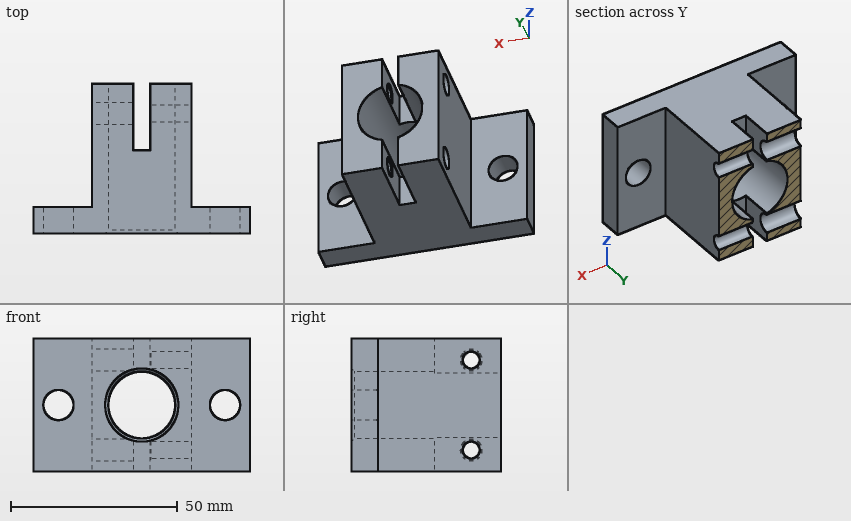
import cadquery as cq
import math

PLATE_WIDTH = 65.0
PLATE_THICKNESS = 8.0
HEIGHT = 40.0
PLATE_HOLE_DIAMETER = 9.0
PLATE_HOLE_SPACING = 50.0

TOTAL_DEPTH = 45.0
BLOCK_WIDTH = 30.0
SLOT_WIDTH = 5.0
SLOT_DEPTH = 20.0

BORE_DIAMETER = 20.0
BORE_CHAMFER = 1.0
BORE_CHAMFER_ANGLE = 90.0

SCREW_SPACING = 27.0
SCREW_FROM_BACK = 9.0
CLEARANCE_DIAMETER = 6.6
TAP_DIAMETER = 5.0
TAP_CHAMFER = 0.5
TAP_CHAMFER_ANGLE = 120.0

JAW_WIDTH = (BLOCK_WIDTH - SLOT_WIDTH) / 2
ALONG_X = cq.Vector(1, 0, 0)
ALONG_Y = cq.Vector(0, 1, 0)


def centered_box(width, y_start, y_end):
    """Full-height box centred on X and Z, spanning y_start to y_end."""
    depth = y_end - y_start
    return cq.Workplane("XY").box(width, depth, HEIGHT).translate((0, y_start + depth / 2, 0))


def cylinder(diameter, length, start, direction):
    return cq.Workplane(cq.Solid.makeCylinder(diameter / 2, length, start, direction))


def countersink(hole_diameter, chamfer, cone_angle, start, direction):
    """Cone that widens the mouth of a hole by chamfer on the radius."""
    hole_radius = hole_diameter / 2
    depth = chamfer / math.tan(math.radians(cone_angle / 2))
    return cq.Workplane(cq.Solid.makeCone(hole_radius + chamfer, hole_radius, depth, start, direction))


def make_body():
    plate = centered_box(PLATE_WIDTH, 0, PLATE_THICKNESS)
    block = centered_box(BLOCK_WIDTH, 0, TOTAL_DEPTH)
    slot = centered_box(SLOT_WIDTH, TOTAL_DEPTH - SLOT_DEPTH, TOTAL_DEPTH)
    return plate.union(block).cut(slot)


def cut_bore(body):
    mouth = cq.Vector(0, 0, 0)
    body = body.cut(cylinder(BORE_DIAMETER, TOTAL_DEPTH, mouth, ALONG_Y))
    return body.cut(countersink(BORE_DIAMETER, BORE_CHAMFER, BORE_CHAMFER_ANGLE, mouth, ALONG_Y))


def cut_plate_holes(body):
    for side in (-1, 1):
        mouth = cq.Vector(side * PLATE_HOLE_SPACING / 2, 0, 0)
        body = body.cut(cylinder(PLATE_HOLE_DIAMETER, PLATE_THICKNESS, mouth, ALONG_Y))
    return body


def cut_screw_holes(body):
    y = TOTAL_DEPTH - SCREW_FROM_BACK
    for side in (-1, 1):
        z = side * SCREW_SPACING / 2
        clearance_mouth = cq.Vector(-BLOCK_WIDTH / 2, y, z)
        tap_mouth = cq.Vector(SLOT_WIDTH / 2, y, z)
        body = body.cut(cylinder(CLEARANCE_DIAMETER, JAW_WIDTH, clearance_mouth, ALONG_X))
        body = body.cut(cylinder(TAP_DIAMETER, JAW_WIDTH, tap_mouth, ALONG_X))
        body = body.cut(countersink(TAP_DIAMETER, TAP_CHAMFER, TAP_CHAMFER_ANGLE, tap_mouth, ALONG_X))
    return body


result = cut_screw_holes(cut_plate_holes(cut_bore(make_body())))